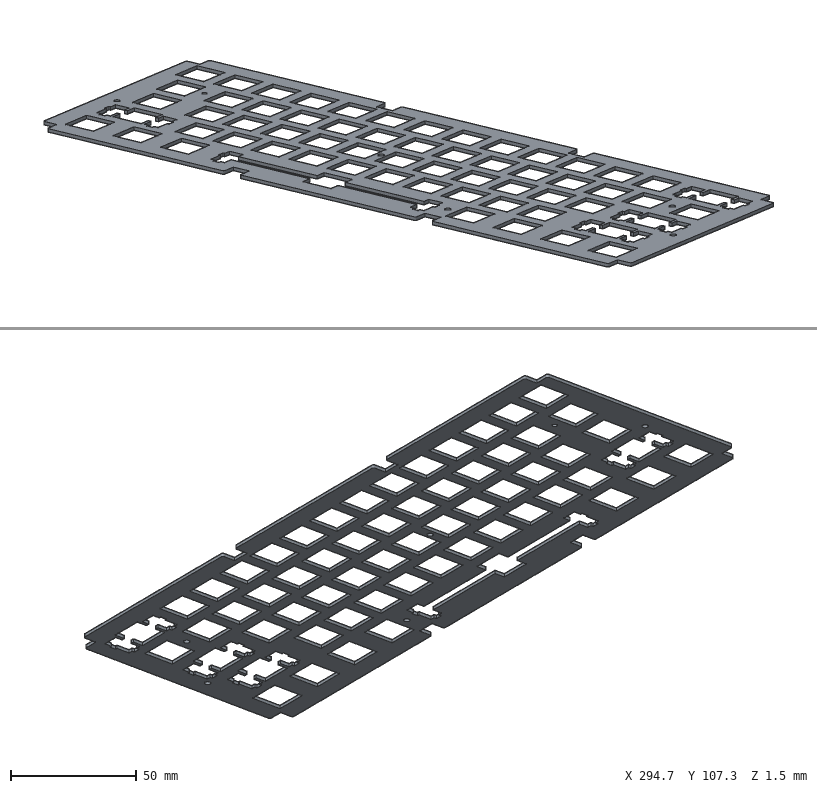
import cadquery as cq

plate_length = 294.7
plate_width = 107.3
thickness = 1.5
tab_depth = 6.2
tab_setback = 6.8
corner_radius = 1.0
edge_notch_width = 8.0
edge_notch_spacing = 96.0

key_field_length = 285.8
key_field_offset = 0.1
row_units = 15
pitch = key_field_length / row_units
web = 5.0
switch_opening = pitch - web

key_rows = [
    [1] * 13 + [2],
    [1.5] + [1] * 12 + [1.5],
    [1.75] + [1] * 11 + [2.25],
    [2.25] + [1] * 10 + [2.75],
    [1.25] * 3 + [6.25] + [1.25] * 4,
]

stabilized_from = 2
space_bar_units = 6.25
short_wire_span = 24.0
space_bar_wire_span = 100.0
housing_width = 6.8
housing_top = 5.5
housing_bottom = -6.8
wire_slot_width = 4.7
foot_width = 3.0
foot_depth = 1.2
side_relief_depth = 1.0
side_relief_top = 2.5
side_relief_bottom = -0.5

screw_diameter = 2.5
small_screw_diameter = 2.0
screw_holes = [
    (-117.3, 19.5, small_screw_diameter),
    (117.3, 19.5, screw_diameter),
    (-14.0, 0.3, screw_diameter),
    (-139.5, -9.0, screw_diameter),
    (139.5, -9.0, screw_diameter),
    (48.0, -37.7, screw_diameter),
]


def block(left, right, bottom, top):
    """Through-thickness cutting block between the given sides."""
    return (
        cq.Workplane("XY")
        .center((left + right) / 2, (bottom + top) / 2)
        .rect(right - left, top - bottom)
        .extrude(thickness)
    )


def round_outer_corners(blank):
    """Round the tab corners on the two long edges, then the corners of the two short edges."""
    half_length = plate_length / 2
    middle = plate_width / 2 - tab_depth / 2
    beyond = plate_width / 2 + tab_depth / 2
    rear = cq.selectors.BoxSelector((-half_length, middle, 0), (half_length, beyond, thickness))
    front = cq.selectors.BoxSelector((-half_length, -beyond, 0), (half_length, -middle, thickness))
    blank = blank.edges("|Z").edges(rear + front).fillet(corner_radius)
    return blank.edges("|Z and (<X or >X)").fillet(corner_radius)


def plate_blank():
    """Rectangle with three tabs left standing along each long edge."""
    half_length = plate_length / 2
    half_width = plate_width / 2
    blank = block(-half_length, half_length, -half_width, half_width)
    corners = (
        cq.Workplane("XY")
        .rect(plate_length, plate_width, forConstruction=True)
        .vertices()
        .rect(2 * tab_setback, 2 * tab_depth)
        .extrude(thickness)
    )
    notches = (
        cq.Workplane("XY")
        .rect(edge_notch_spacing, plate_width, forConstruction=True)
        .vertices()
        .rect(edge_notch_width, 2 * tab_depth)
        .extrude(thickness)
    )
    blank = blank.cut(corners).cut(notches)
    return round_outer_corners(blank)


def key_positions():
    """Centre of every key with its width in key units."""
    keys = []
    for row, widths in enumerate(key_rows):
        y = ((len(key_rows) - 1) / 2 - row) * pitch
        left_edge = -row_units / 2
        for units in widths:
            keys.append((key_field_offset + (left_edge + units / 2) * pitch, y, units))
            left_edge += units
    return keys


def stabilizer_cutter(span):
    """Two housings, their feet and outer reliefs, and the wire slot, centred on the key."""
    outer_side = (span + housing_width) / 2
    relief_side = outer_side + side_relief_depth
    cutter = block(-span / 2, span / 2, -wire_slot_width / 2, wire_slot_width / 2)
    for side in (-1, 1):
        x = side * span / 2
        housing = block(x - housing_width / 2, x + housing_width / 2, housing_bottom, housing_top)
        foot = block(x - foot_width / 2, x + foot_width / 2, housing_bottom - foot_depth, 0)
        relief = block(*sorted((x, side * relief_side)), side_relief_bottom, side_relief_top)
        cutter = cutter.union(housing).union(foot).union(relief)
    return cutter


def cut_switches(plate, keys):
    cutters = (
        cq.Workplane("XY")
        .pushPoints([(x, y) for x, y, units in keys])
        .rect(switch_opening, switch_opening)
        .extrude(thickness)
    )
    return plate.cut(cutters)


def cut_stabilizers(plate, keys):
    for x, y, units in keys:
        if units >= stabilized_from:
            span = space_bar_wire_span if units == space_bar_units else short_wire_span
            plate = plate.cut(stabilizer_cutter(span).translate((x, y, 0)))
    return plate


def cut_screw_holes(plate):
    for x, y, diameter in screw_holes:
        hole = (
            cq.Workplane("XY")
            .center(key_field_offset + x, y)
            .circle(diameter / 2)
            .extrude(thickness)
        )
        plate = plate.cut(hole)
    return plate


keys = key_positions()
result = plate_blank()
result = cut_switches(result, keys)
result = cut_stabilizers(result, keys)
result = cut_screw_holes(result)